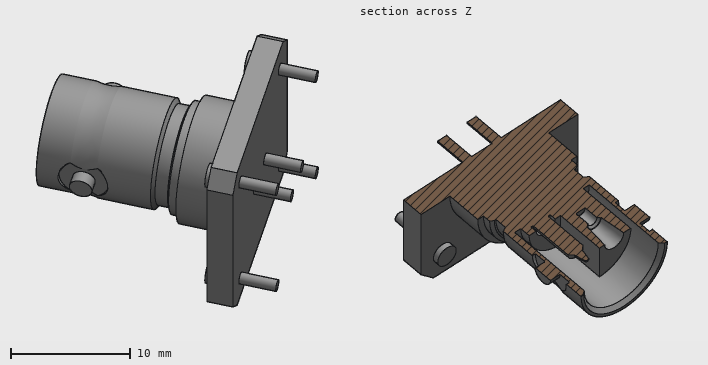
import cadquery as cq

overall_length = 21.35
groove_start = 2.9
groove_end = 5.2
barrel_taper_start = 9.92
neck_start = 10.2
neck_end = 11.33
collar_start = 11.52
shoulder_start = 12.31
plate_front = 15.88
plate_back = 18.14

barrel_radius = 4.8
neck_radius = 4.37
collar_lip_radius = 4.55
collar_radius = 4.9
shoulder_radius = 5.53
groove_depth = 0.15

bore_radius = 4.12
bore_chamfer = 0.38
bore_floor = 9.18

insulator_radius = 3.5
insulator_high_face = 3.15
insulator_low_face = 8.1

contact_offset = 1.65
pin_tip = 2.77
pin_dome_height = 0.09
pin_dome_radius = 0.21
pin_taper_length = 1.07
pin_neck_radius = 0.45
pin_shoulder_length = 0.4
pin_radius = 0.85
pin_well_radius = 1.05
pin_well_depth = 0.65
socket_mouth_radius = 1.05
socket_taper_length = 2.56
socket_taper_radius = 0.77
socket_land_radius = 0.7
socket_hole_radius = 0.5
socket_hole_depth = 4.27

lug_radius = 0.98
lug_tip = shoulder_radius
lug_position = (groove_start + groove_end) / 2
flat_radius = 2.15
flat_height = 4.45

plate_side = 17.48
plate_corner_chamfer = 1.37
rivet_offset = 6.34
rivet_head_radius = 1.02
rivet_head_height = 0.55
rear_pin_radius = 0.51


def revolve_about_axis(profile, y=0.0):
    """Revolve a profile drawn in (x, radius) about the X-parallel axis at the given Y."""
    return profile.close().revolve(360, (0, 0, 0), (1, 0, 0)).translate((0, y, 0))


def rod(start, end, radius, y=0.0, z=0.0):
    """Cylinder running along X."""
    return cq.Workplane("YZ", origin=(start, 0, 0)).center(y, z).circle(radius).extrude(end - start)


def turned_body():
    return revolve_about_axis(
        cq.Workplane("XY")
        .moveTo(0, 0)
        .lineTo(0, barrel_radius)
        .lineTo(groove_start, barrel_radius)
        .threePointArc((lug_position, barrel_radius - groove_depth), (groove_end, barrel_radius))
        .lineTo(barrel_taper_start, barrel_radius)
        .lineTo(neck_start, neck_radius)
        .lineTo(neck_end, neck_radius)
        .lineTo(neck_end, collar_lip_radius)
        .lineTo(collar_start, collar_radius)
        .lineTo(shoulder_start, collar_radius)
        .lineTo(shoulder_start, shoulder_radius)
        .lineTo(plate_front, shoulder_radius)
        .lineTo(plate_front, 0)
    )


def mating_bore():
    return revolve_about_axis(
        cq.Workplane("XY")
        .moveTo(0, 0)
        .lineTo(0, bore_radius + bore_chamfer)
        .lineTo(bore_chamfer, bore_radius)
        .lineTo(bore_floor, bore_radius)
        .lineTo(bore_floor, 0)
    )


def lug_flat(side):
    """Round spot face that leaves a flat seat for the lug on the given Y side."""
    face = cq.Workplane("XZ", origin=(lug_position, side * flat_height, 0))
    return face.circle(flat_radius).extrude(-side * (barrel_radius - flat_height))


def lug(side):
    """Round lug rooted inside the barrel wall and pointing out along the given Y side."""
    root = (bore_radius + flat_height) / 2
    base = cq.Workplane("XZ", origin=(lug_position, side * root, 0))
    return base.circle(lug_radius).extrude(-side * (lug_tip - root))


def insulator():
    """Full disc at the low level with a half disc on the -Y side up to the high level."""
    low = rod(insulator_low_face, bore_floor, insulator_radius)
    high = rod(insulator_high_face, bore_floor, insulator_radius)
    minus_y_half = cq.Workplane("XY").box(
        bore_floor, insulator_radius, 2 * insulator_radius, centered=(False, False, True)
    ).translate((0, -insulator_radius, 0))
    return low.union(high.intersect(minus_y_half))


def pin_contact():
    taper_start = pin_tip + pin_dome_height
    taper_end = taper_start + pin_taper_length
    return revolve_about_axis(
        cq.Workplane("XY")
        .moveTo(pin_tip, 0)
        .lineTo(taper_start, pin_dome_radius)
        .lineTo(taper_end, pin_neck_radius)
        .lineTo(taper_end + pin_shoulder_length, pin_radius)
        .lineTo(bore_floor, pin_radius)
        .lineTo(bore_floor, 0),
        contact_offset,
    )


def socket_recess():
    """Long tapered mouth leading through a chamfered land into a blind round hole."""
    taper_end = insulator_high_face + socket_taper_length
    hole_start = taper_end + socket_land_radius - socket_hole_radius
    hole_end = insulator_high_face + socket_hole_depth
    return revolve_about_axis(
        cq.Workplane("XY")
        .moveTo(insulator_high_face, 0)
        .lineTo(insulator_high_face, socket_mouth_radius)
        .lineTo(taper_end, socket_taper_radius)
        .lineTo(taper_end, socket_land_radius)
        .lineTo(hole_start, socket_hole_radius)
        .lineTo(hole_end, socket_hole_radius)
        .lineTo(hole_end, 0),
        -contact_offset,
    )


def mounting_plate():
    plate = cq.Workplane("YZ", origin=(plate_front, 0, 0)).rect(plate_side, plate_side)
    return plate.extrude(plate_back - plate_front).edges("|X").chamfer(plate_corner_chamfer)


result = turned_body().cut(mating_bore())
for side in (-1, 1):
    result = result.cut(lug_flat(side)).union(lug(side))

result = result.union(insulator())
result = result.cut(
    rod(insulator_low_face, insulator_low_face + pin_well_depth, pin_well_radius, contact_offset)
)
result = result.union(pin_contact()).cut(socket_recess())

result = result.union(mounting_plate())
for y in (-rivet_offset, rivet_offset):
    for z in (-rivet_offset, rivet_offset):
        result = result.union(rod(plate_front - rivet_head_height, plate_front, rivet_head_radius, y, z))
        result = result.union(rod(plate_back, overall_length, rear_pin_radius, y, z))
for y in (-contact_offset, contact_offset):
    result = result.union(rod(plate_back, overall_length, rear_pin_radius, y))